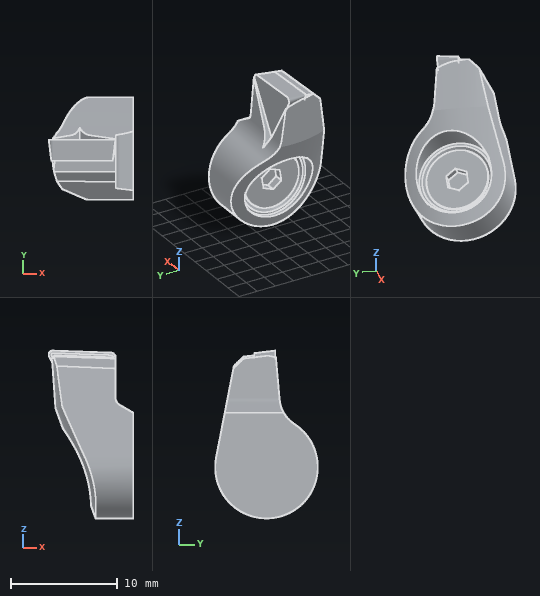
import cadquery as cq
import math

hub_radius = 4.85
back_flank_angle = 11.0
front_flank_angle = 5.0
front_flank_distance = 1.80
neck_radius = 3.0
blank_height = 12.0
blank_depth = 10.0

bend_x = -7.367
bend_z = 5.57
front_radius = 11.5
upper_front_angle = 4.0
lower_front_angle = 20.0

step_depth = 1.67
step_corner_z = 5.13
step_slope_angle = 30.0
step_fillet = 0.75

bore_diameter = 7.3
cone_mouth_diameter = 6.73
head_diameter = 6.0
ledge_x = -3.58
cone_depth = (cone_mouth_diameter - head_diameter) / 2
head_face_x = -3.45
hex_across_flats = 2.0
hex_depth = 0.95
hex_rotation = 8.7

inscribed_diameter = 3.97
insert_thickness = 2.0
insert_corner_radius = 0.4
relief_angle = 7.0
insert_tilt = 2.0
edge_middle = (-4.84, 0.83, 10.904)
pocket_overrun = 4.0

land_drop = 0.20
bevel_start = 3.0
bevel_angle = 44.0
corner_bevel_start = 2.48
corner_bevel_depth = 0.37
corner_bevel_size = 1.0
trim_reach = 8.0


def tangent(angle):
    return math.tan(math.radians(angle))


def polar(radius, angle):
    a = math.radians(angle)
    return (radius * math.cos(a), radius * math.sin(a))


insert_plane = cq.Plane(
    origin=edge_middle,
    xDir=(math.cos(math.radians(insert_tilt)), 0, -math.sin(math.radians(insert_tilt))),
    normal=(0, -1, 0),
)


def triangle(plane, front_offset):
    """Sharp insert triangle, grown by the relief, in a plane ahead of the rake face."""
    in_radius = inscribed_diameter / 2
    grown_radius = in_radius + front_offset * tangent(relief_angle)
    half_side = grown_radius * math.sqrt(3)
    top = grown_radius - in_radius
    apex = -in_radius - 2 * grown_radius
    return (
        cq.Workplane(plane)
        .workplane(offset=-front_offset)
        .polyline([(-half_side, top), (half_side, top), (0, apex)])
        .close()
    )


def make_insert():
    sharp = triangle(insert_plane, 0).extrude(insert_thickness)
    outline = sharp.edges("|Y").fillet(insert_corner_radius).faces(">Y").wires()
    return (
        cq.Workplane(insert_plane)
        .add(outline)
        .toPending()
        .extrude(insert_thickness, taper=relief_angle)
    )


def insert_pocket():
    return triangle(insert_plane, pocket_overrun).extrude(
        pocket_overrun + insert_thickness, taper=relief_angle
    )


def plate_blank():
    blend_offset = front_flank_distance + neck_radius
    blend_along = math.sqrt((hub_radius + neck_radius) ** 2 - blend_offset**2)
    normal_y, normal_z = polar(1, front_flank_angle)

    def on_flank(offset, along):
        return (offset * normal_y - along * normal_z, offset * normal_z + along * normal_y)

    blend_center = on_flank(blend_offset, blend_along)
    flank_foot = on_flank(front_flank_distance, blend_along)
    flank_top = on_flank(front_flank_distance, blank_height)
    to_hub = hub_radius / (hub_radius + neck_radius)
    hub_touch = (blend_center[0] * to_hub, blend_center[1] * to_hub)
    flank_heading = front_flank_angle - 180
    hub_heading = math.degrees(math.atan2(-blend_center[1], -blend_center[0]))
    middle = polar(neck_radius, (flank_heading + hub_heading) / 2)
    blend_middle = (blend_center[0] + middle[0], blend_center[1] + middle[1])

    back_touch = polar(hub_radius, 180 - back_flank_angle)
    back_top = (back_touch[0] + (blank_height - back_touch[1]) * tangent(back_flank_angle), blank_height)
    return (
        cq.Workplane("YZ")
        .moveTo(*back_touch)
        .lineTo(*back_top)
        .lineTo(*flank_top)
        .lineTo(*flank_foot)
        .threePointArc(blend_middle, hub_touch)
        .threePointArc((0, -hub_radius), back_touch)
        .close()
        .extrude(-blank_depth)
    )


def front_cylinder(lean):
    """Cylinder whose foremost straight line passes through the bend with the given lean."""
    a = math.radians(lean)
    axis = (-math.sin(a), 0, math.cos(a))
    center = (bend_x + front_radius * math.cos(a), 0, bend_z + front_radius * math.sin(a))
    plane = cq.Plane(origin=center, xDir=(0, 1, 0), normal=axis)
    return cq.Workplane(plane).circle(front_radius).extrude(2 * blank_height, both=True)


def step_cut():
    corner_z = step_corner_z + step_depth * tangent(step_slope_angle)
    return (
        cq.Workplane("XZ")
        .polyline([
            (0, step_corner_z),
            (-step_depth, corner_z),
            (-step_depth, 2 * blank_height),
            (0, 2 * blank_height),
        ])
        .close()
        .extrude(2 * hub_radius, both=True)
        .edges(cq.selectors.NearestToPointSelector((-step_depth, 0, corner_z)))
        .fillet(step_fillet)
    )


def top_trim():
    """Block above the land and bevel, running along the tilted cutting edge."""
    side_plane = cq.Plane(origin=edge_middle, xDir=(0, -1, 0), normal=insert_plane.xDir.toTuple())
    slope = tangent(relief_angle)
    bevel_drop = land_drop + bevel_start * slope
    trim_drop = bevel_drop + (trim_reach - bevel_start) * tangent(bevel_angle)
    return (
        cq.Workplane(side_plane)
        .polyline([
            (-trim_reach, land_drop - trim_reach * slope),
            (bevel_start, bevel_drop),
            (trim_reach, trim_drop),
            (trim_reach, -trim_reach),
            (-trim_reach, -trim_reach),
        ])
        .close()
        .extrude(trim_reach, both=True)
    )


def corner_trim():
    """Triangular prism that breaks the -X corner of the land at 45 degrees."""
    x, z = -corner_bevel_start, -corner_bevel_depth
    size = corner_bevel_size
    return (
        cq.Workplane(insert_plane)
        .polyline([
            (x - size, z - size),
            (x - size, z + size),
            (x + size, z + size),
        ])
        .close()
        .extrude(trim_reach)
    )


def screw_recess():
    bore = cq.Workplane("YZ").workplane(offset=ledge_x).circle(bore_diameter / 2).extrude(-blank_depth)
    cone = (
        cq.Workplane("YZ")
        .workplane(offset=ledge_x)
        .circle(cone_mouth_diameter / 2)
        .workplane(offset=cone_depth)
        .circle(head_diameter / 2)
        .loft()
    )
    return bore.union(cone)


def screw_head():
    """Head standing on the small end of the countersink, leaving a narrow V groove around it."""
    head_height = ledge_x + cone_depth - head_face_x
    return cq.Workplane("YZ").workplane(offset=head_face_x).circle(head_diameter / 2).extrude(head_height)


def hex_socket():
    corner_diameter = hex_across_flats / math.cos(math.radians(30))
    return (
        cq.Workplane("YZ")
        .workplane(offset=head_face_x)
        .transformed(rotate=(0, 0, 90 - hex_rotation))
        .polygon(6, corner_diameter)
        .extrude(hex_depth)
    )


def make_holder():
    return (
        plate_blank()
        .intersect(front_cylinder(upper_front_angle))
        .intersect(front_cylinder(lower_front_angle))
        .cut(step_cut())
        .cut(top_trim())
        .cut(corner_trim())
        .cut(insert_pocket())
        .cut(screw_recess())
        .union(screw_head())
        .cut(hex_socket())
    )


insert = make_insert()
holder = make_holder()
result = cq.Compound.makeCompound([holder.solids().val(), insert.val()])